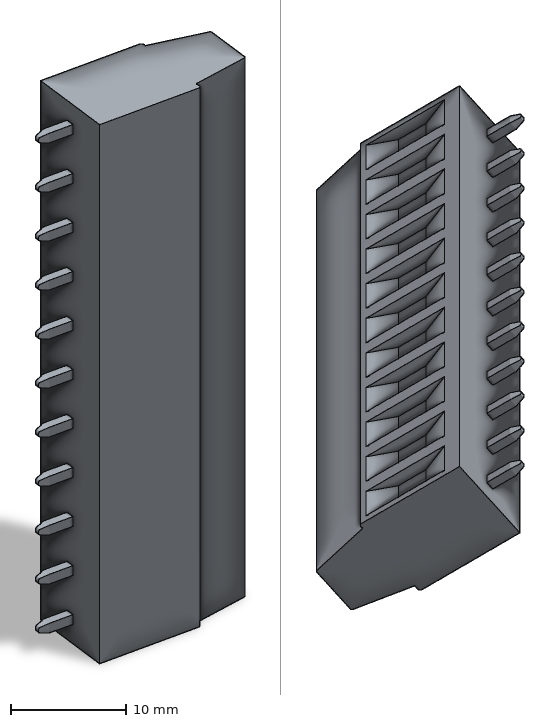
import cadquery as cq

body_height = 55.0
body_width = 8.9
body_depth = 16.8
shoulder_depth = 10.8
left_shoulder_width = 0.5
right_shoulder_width = 0.7
left_back_inset = 1.85
right_back_inset = 1.8
shoulder_radius = 0.3
back_radius = 0.15

pole_count = 11
pole_pitch = body_height / pole_count

pocket_front = 1.6
pocket_length = 8.45
pocket_height = 3.5
pocket_floor_start = 4.3
pocket_floor_length = 2.95
pocket_floor_height = 2.8
pocket_depth = 0.95

pin_width = 0.9
pin_height = 1.0
pin_length = 3.5
pin_tip_length = 1.0
pin_tip_width = 0.45
pin_tip_height = 0.5
pin_nose_radius = 0.2

left = -body_width / 2
right = body_width / 2


def make_housing():
    """Block with a tapered back above two shoulders, outer edges rounded; front face at Y = 0."""
    outline = [
        (left, 0),
        (right, 0),
        (right, shoulder_depth),
        (right - right_shoulder_width, shoulder_depth),
        (right - right_back_inset, body_depth),
        (left + left_back_inset, body_depth),
        (left + left_shoulder_width, shoulder_depth),
        (left, shoulder_depth),
    ]
    block = cq.Workplane("XY").polyline(outline).close().extrude(body_height)
    rounded_corners = [
        (outline[2], shoulder_radius),
        (outline[4], back_radius),
        (outline[5], back_radius),
        (outline[7], shoulder_radius),
    ]
    for (x, y), radius in rounded_corners:
        edge = cq.selectors.NearestToPointSelector((x, y, body_height / 2))
        block = block.edges(edge).fillet(radius)
    return block


def make_pocket(z):
    """Tapered wire pocket, lofted from its mouth to its smaller floor."""
    mouth_center = pocket_front + pocket_length / 2
    floor_center = pocket_floor_start + pocket_floor_length / 2
    return (
        cq.Workplane("YZ", origin=(left, mouth_center, z))
        .rect(pocket_length, pocket_height)
        .workplane(offset=pocket_depth)
        .center(floor_center - mouth_center, 0)
        .rect(pocket_floor_length, pocket_floor_height)
        .loft(ruled=True)
    )


def make_pin(z):
    """Rectangular pin towards -Y with a tapered tip, rounded at the end."""
    shank_length = pin_length - pin_tip_length
    shank = cq.Workplane("XZ", origin=(0, 0, z)).rect(pin_width, pin_height).extrude(shank_length)
    tip = (
        cq.Workplane("XZ", origin=(0, -shank_length, z))
        .rect(pin_width, pin_height)
        .workplane(offset=pin_tip_length)
        .rect(pin_tip_width, pin_tip_height)
        .loft(ruled=True)
        .faces("<Y")
        .edges("|X")
        .fillet(pin_nose_radius)
    )
    return shank.union(tip)


result = make_housing()
for pole in range(pole_count):
    pole_z = (pole + 0.5) * pole_pitch
    result = result.cut(make_pocket(pole_z))
    result = result.union(make_pin(pole_z))